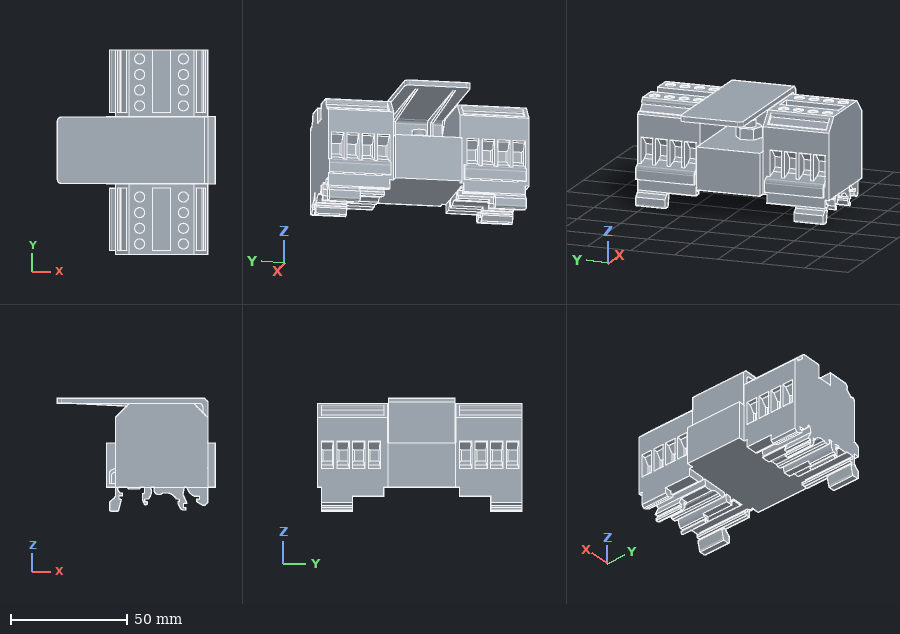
import cadquery as cq

total_length = 88.0
plate_thickness = 1.7
block_length = 26.9
terminals_per_block = 4
terminal_pitch = block_length / terminals_per_block

block_width = 39.8
block_height = 36.1
corner_chamfer = 6.0

front_block_y = plate_thickness
inner_plate_y = front_block_y + block_length
base_y = inner_plate_y + plate_thickness
rear_block_y = total_length - block_length
rear_plate_y = rear_block_y - plate_thickness
base_length = rear_plate_y - base_y

slot_left, slot_right = 16.1, 23.7
slot_depth = 6.7
screw_hole_diameter = 4.3
screw_hole_depth = 0.4
screw_hole_x = 10.5
screw_hole_offset = 2.9

divider_thickness = 1.4
entry_bottom, entry_top = 8.2, 19.9
ledge_depth, ledge_top = 3.25, 9.7
ledge_slope = (ledge_top - entry_bottom) / ledge_depth
entry_depth = 4.6
entry_wall_taper = 0.6
entry_corner_width = 0.8
entry_corner_depth = 0.35

lip_reach = 2.55
lip_bottom = 1.7
lip_wall = 0.9
lip_edge_x = -1.6
lip_recess_depth = 3.5

foot_length = block_length / 2
trimmed_foot_bottom = -3.9
feet_bottom = -10.3

base_left, base_right = -3.9, 43.0
base_height = 19.2
stud_x = block_width / 2
stud_y = 44.25
stud_diameter = 6.0
stud_top = 27.2
nut_across_corners = 11.7
nut_height = 4.9
nut_rotation = 39.3
nut_edge_chamfer = 0.4

cover_left, cover_right = -25.0, 39.9
cover_top = 38.35
cover_thickness = cover_top - block_height
cover_margin = 0.22
cover_corner_radius = 1.9
cover_bend_chamfer = 1.6
cover_bend_radius = 1.6
rib_thickness = 1.05
rib_positions = (36.0, 52.4)
rib_left, rib_right = -18.7, 30.6
rib_drop = 2.5


def profile_at(y):
    """XZ sketch plane at the given Y; a negative extrusion runs toward +Y."""
    return cq.Workplane("XZ", origin=(0, y, 0))


def prism(points, y, length):
    return profile_at(y).polyline(points).close().extrude(-length)


def box(x_range, y_range, z_range):
    size = [end - start for start, end in (x_range, y_range, z_range)]
    corner = (x_range[0], y_range[0], z_range[0])
    return cq.Workplane("XY").box(*size, centered=False).translate(corner)


def mirrored(shape):
    """Copy of a shape on the opposite side of a terminal block."""
    return shape.mirror("YZ", (block_width / 2, 0, 0))


def end_plate(y):
    plate = box((0, block_width), (y, y + plate_thickness), (0, block_height))
    return plate.edges("|Y and >Z").chamfer(corner_chamfer)


def marker_groove(y):
    """Undercut groove for a marking strip, sunk into the sloping shoulder."""
    groove = (
        profile_at(y)
        .moveTo(0.4, 31.05)
        .lineTo(1.9, 31.05)
        .lineTo(2.5, 30.7)
        .lineTo(5.1, 33.3)
        .lineTo(4.8, 34.05)
        .threePointArc((4.8, 34.75), (5.2, 35.3))
        .lineTo(4.75, 35.7)
        .close()
    )
    return groove.extrude(-block_length)


def wire_entry(y):
    """Funnel of one terminal, narrowing toward its back wall."""
    end_y = y + terminal_pitch - divider_thickness
    side_profile = [
        (0, entry_bottom),
        (ledge_depth, ledge_top),
        (entry_depth, 11.35),
        (entry_depth, 16.0),
        (1.9, 19.5),
        (0, entry_top),
    ]
    plan = [
        (0, y),
        (0, end_y),
        (entry_depth, end_y - entry_wall_taper),
        (entry_depth, y + entry_corner_width),
        (entry_depth - entry_corner_depth, y),
    ]
    funnel = prism(side_profile, y, terminal_pitch)
    return funnel.intersect(cq.Workplane("XY").polyline(plan).close().extrude(block_height))


def marker_lip(y):
    """Ledge with a rounded upper edge that continues the slope of the wire entries."""
    inner_x = lip_wall - lip_reach
    outer = (
        profile_at(y)
        .moveTo(0, lip_bottom)
        .lineTo(-lip_reach, lip_bottom)
        .lineTo(-lip_reach, 5.8)
        .threePointArc((-2.3, 6.9), (lip_edge_x, entry_bottom + ledge_slope * lip_edge_x))
        .lineTo(0, entry_bottom)
        .close()
        .extrude(-block_length)
    )
    recess = [(0, lip_bottom), (inner_x, lip_bottom), (inner_x, 5.45), (-1.05, 6.2), (0, 6.6)]
    return outer.cut(prism(recess, y, lip_recess_depth))


def rail_feet(y, length):
    """The five rail-clamping feet, in order along +X."""
    release_foot = (
        profile_at(y)
        .lineTo(0, -3.7)
        .lineTo(-0.5, -4.6)
        .lineTo(-2.5, -6.25)
        .lineTo(-2.5, -9.5)
        .threePointArc((-2.3, -10.0), (-1.85, feet_bottom))
        .lineTo(1.1, feet_bottom)
        .lineTo(1.5, -9.7)
        .lineTo(2.6, -5.2)
        .lineTo(1.7, -4.9)
        .lineTo(1.7, -3.7)
        .lineTo(3.2, -3.7)
        .lineTo(3.2, -2.5)
        .lineTo(2.2, -2.4)
        .threePointArc((1.3, -1.4), (1.1, 0))
        .close()
        .extrude(-length)
    )
    pad = prism([(5.1, 0), (5.8, -0.8), (10.3, -0.8), (10.6, -0.5), (10.6, 0)], y, length)
    small_hook = (
        profile_at(y)
        .moveTo(12.5, 0)
        .lineTo(12.5, -2.5)
        .lineTo(11.7, -2.7)
        .lineTo(11.7, -5.5)
        .lineTo(12.5, -7.3)
        .threePointArc((13.3, -7.5), (13.6, -6.2))
        .lineTo(12.75, -6.2)
        .lineTo(12.75, -5.0)
        .lineTo(14.2, -5.0)
        .threePointArc((15.0, -3.9), (15.6, -1.2))
        .lineTo(15.2, 0)
        .close()
        .extrude(-length)
    )
    spring_hook = (
        profile_at(y)
        .moveTo(16.9, 0)
        .threePointArc((16.9, -2.1), (18.2, -3.1))
        .lineTo(19.4, -3.1)
        .lineTo(20.4, -2.5)
        .lineTo(22.9, -2.5)
        .threePointArc((24.6, -3.25), (26.2, -5.0))
        .lineTo(27.45, -5.0)
        .lineTo(27.45, -6.1)
        .lineTo(26.9, -6.1)
        .lineTo(26.9, -6.95)
        .lineTo(28.15, -9.3)
        .lineTo(29.0, -9.8)
        .lineTo(30.35, -9.8)
        .lineTo(30.35, -8.6)
        .lineTo(29.4, -8.6)
        .lineTo(29.4, -6.95)
        .lineTo(30.9, -6.9)
        .lineTo(29.1, -2.9)
        .lineTo(29.7, 0)
        .close()
        .extrude(-length)
    )
    fixed_foot = (
        profile_at(y)
        .moveTo(30.8, 0)
        .threePointArc((32.2, -2.55), (34.1, -3.9))
        .lineTo(36.15, -3.9)
        .lineTo(36.15, -5.0)
        .lineTo(34.9, -5.0)
        .lineTo(34.9, -6.2)
        .lineTo(37.6, -7.7)
        .lineTo(38.5, -7.7)
        .lineTo(block_width, -6.6)
        .lineTo(block_width, 0)
        .close()
        .extrude(-length)
    )
    return [release_foot, pad, small_hook, spring_hook, fixed_foot]


def terminal_block(y, outer_half_y):
    end_y = y + block_length
    block = box((0, block_width), (y, end_y), (0, block_height))
    block = block.edges("|Y and >Z").chamfer(corner_chamfer)
    block = block.cut(
        box((slot_left, slot_right), (y, end_y), (block_height - slot_depth, block_height))
    )

    groove = marker_groove(y)
    block = block.cut(groove).cut(mirrored(groove))

    for index in range(terminals_per_block):
        terminal_y = y + index * terminal_pitch
        entry = wire_entry(terminal_y)
        screw_hole = (
            cq.Workplane("XY", origin=(screw_hole_x, terminal_y + screw_hole_offset, block_height))
            .circle(screw_hole_diameter / 2)
            .extrude(-screw_hole_depth)
        )
        for cutter in (entry, screw_hole):
            block = block.cut(cutter).cut(mirrored(cutter))

    block = block.union(marker_lip(y))
    foot_space = box((base_left, base_right), (y, end_y), (trimmed_foot_bottom, 0))
    foot_space = foot_space.union(
        box(
            (base_left, base_right),
            (outer_half_y, outer_half_y + foot_length),
            (feet_bottom, 0),
        )
    )
    for foot in rail_feet(y, block_length):
        block = block.union(foot.intersect(foot_space))
    return block


def stud_base():
    base = box((base_left, base_right), (base_y, base_y + base_length), (0, base_height))
    seat = cq.Workplane("XY", origin=(stud_x, stud_y, base_height))
    stud = seat.circle(stud_diameter / 2).extrude(stud_top - base_height)
    nut = seat.transformed(rotate=(0, 0, nut_rotation)).polygon(6, nut_across_corners)
    nut = nut.extrude(nut_height)
    nut_blank = seat.circle(nut_across_corners / 2).extrude(nut_height)
    nut_blank = nut_blank.faces(">Z").chamfer(nut_edge_chamfer)
    return base.union(nut.intersect(nut_blank)).union(stud)


def cover():
    y = base_y + cover_margin
    length = base_length - 2 * cover_margin
    wall_left = cover_right - cover_thickness
    angle = box((cover_left, cover_right), (y, y + length), (base_height, cover_top))
    angle = angle.edges("|Y and >X and >Z").chamfer(cover_bend_chamfer)
    hollow = box((cover_left, wall_left), (y, y + length), (base_height, block_height))
    angle = angle.cut(hollow.edges("|Y and >X and >Z").fillet(cover_bend_radius))
    angle = angle.edges("|Z and <X").fillet(cover_corner_radius)

    rib_profile = [
        (rib_left, block_height),
        (rib_right, block_height - rib_drop),
        (rib_right, base_height),
        (wall_left, base_height),
        (wall_left, block_height),
    ]
    for rib_y in rib_positions:
        angle = angle.union(prism(rib_profile, rib_y, rib_thickness))
    return angle


result = stud_base().union(cover())
for plate_y in (0, inner_plate_y, rear_plate_y):
    result = result.union(end_plate(plate_y))
result = result.union(terminal_block(front_block_y, front_block_y))
result = result.union(terminal_block(rear_block_y, total_length - foot_length))